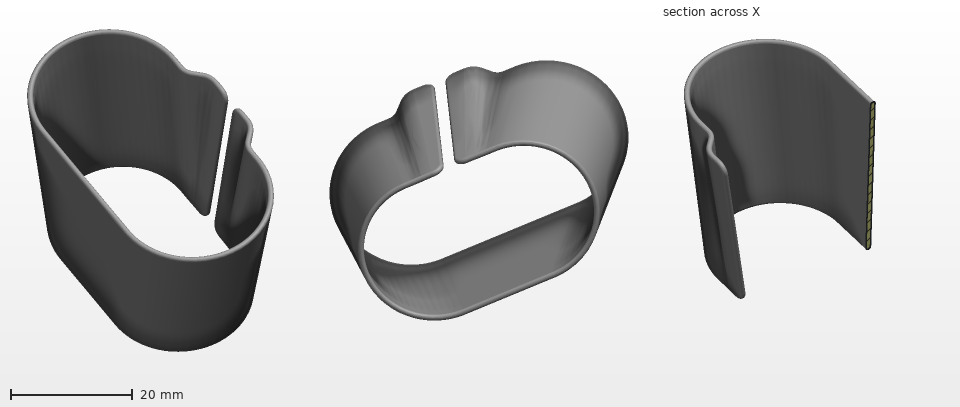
import math

import cadquery as cq

height = 32.07
wall = 1.0
top_half_length = 25.705
top_radius = 13.5
bottom_half_length = 20.52
bottom_radius = 12.55

lip_height = 3.09
lip_flat_half = 4.6
lip_slope = math.radians(45)
lip_crest_radius = 4.0
lip_root_radius = 2.4

slot_width = 2.0
slot_corner_radius = 2.0

edge_fillet = 0.45

top_straight_half = top_half_length - top_radius
bottom_straight_half = bottom_half_length - bottom_radius


def lip_points(inset):
    """Right-hand lip, from its root on the back wall to its crest, moved inwards by inset."""
    root_radius = lip_root_radius + inset
    crest_radius = lip_crest_radius - inset
    sine = math.sin(lip_slope)
    cosine = math.cos(lip_slope)
    half_sine = math.sin(lip_slope / 2)
    half_cosine = math.cos(lip_slope / 2)

    arc_rise = (lip_root_radius + lip_crest_radius) * (1 - cosine)
    ramp_run = (lip_height - arc_rise) / math.tan(lip_slope)
    root_x = lip_flat_half + ramp_run + (lip_root_radius + lip_crest_radius) * sine
    root_center_y = top_radius + lip_root_radius
    crest_center_y = top_radius + lip_height - lip_crest_radius

    return [
        (root_x, root_center_y - root_radius),
        (root_x - root_radius * half_sine, root_center_y - root_radius * half_cosine),
        (root_x - root_radius * sine, root_center_y - root_radius * cosine),
        (lip_flat_half + crest_radius * sine, crest_center_y + crest_radius * cosine),
        (lip_flat_half + crest_radius * half_sine, crest_center_y + crest_radius * half_cosine),
        (lip_flat_half, crest_center_y + crest_radius),
    ]


def mirrored(point):
    return (-point[0], point[1])


def front_and_right_end(sketch, straight_half, radius):
    """Front wall and right-hand round end, finishing on the back wall."""
    return (
        sketch.moveTo(-straight_half, -radius)
        .lineTo(straight_half, -radius)
        .threePointArc((straight_half + radius, 0), (straight_half, radius))
    )


def top_wire(inset):
    """Obround whose back wall rises through an S-curve into a lip on each side of the slot."""
    radius = top_radius - inset
    root, root_mid, ramp_start, ramp_end, crest_mid, crest = lip_points(inset)
    sketch = front_and_right_end(cq.Workplane("XY", origin=(0, 0, height)), top_straight_half, radius)
    return (
        sketch.lineTo(*root)
        .threePointArc(root_mid, ramp_start)
        .lineTo(*ramp_end)
        .threePointArc(crest_mid, crest)
        .lineTo(*mirrored(crest))
        .threePointArc(mirrored(crest_mid), mirrored(ramp_end))
        .lineTo(*mirrored(ramp_start))
        .threePointArc(mirrored(root_mid), mirrored(root))
        .lineTo(-top_straight_half, radius)
        .threePointArc((-top_straight_half - radius, 0), (-top_straight_half, -radius))
        .close()
        .wires()
        .val()
    )


def bottom_wire(inset):
    """Plain obround whose back wall is divided to match the lip segments above it."""
    radius = bottom_radius - inset
    shrink = bottom_straight_half / top_straight_half
    root, _, ramp_start, ramp_end, _, crest = lip_points(inset)
    right_stations = [shrink * point[0] for point in (root, ramp_start, ramp_end, crest)]
    left_stations = [-x for x in reversed(right_stations)]
    sketch = front_and_right_end(cq.Workplane("XY"), bottom_straight_half, radius)
    for x in right_stations + left_stations:
        sketch = sketch.lineTo(x, radius)
    return (
        sketch.lineTo(-bottom_straight_half, radius)
        .threePointArc((-bottom_straight_half - radius, 0), (-bottom_straight_half, -radius))
        .close()
        .wires()
        .val()
    )


def tapered_body(inset):
    """Straight-sided taper between the bottom and top outlines."""
    return cq.Workplane(cq.Solid.makeLoft([bottom_wire(inset), top_wire(inset)], True))


def slot_cutter():
    """Full-height slot that cuts only the back wall."""
    depth = top_radius + lip_height
    return cq.Workplane("XY").box(slot_width, depth, height, centered=(True, False, False))


def rounded_slot_corners(body):
    """Round the lip corners where the slot meets the top and bottom rims."""
    return body.faces("|X").edges(">Z or <Z").fillet(slot_corner_radius)


def softened_edges(body):
    """Round both rims and the slot edges in one continuous run."""
    slot_edges = body.faces("|X").edges()
    rim_edges = body.faces("|Z").edges()
    return slot_edges.add(rim_edges).fillet(edge_fillet)


band = tapered_body(0).cut(tapered_body(wall)).cut(slot_cutter())
result = softened_edges(rounded_slot_corners(band))